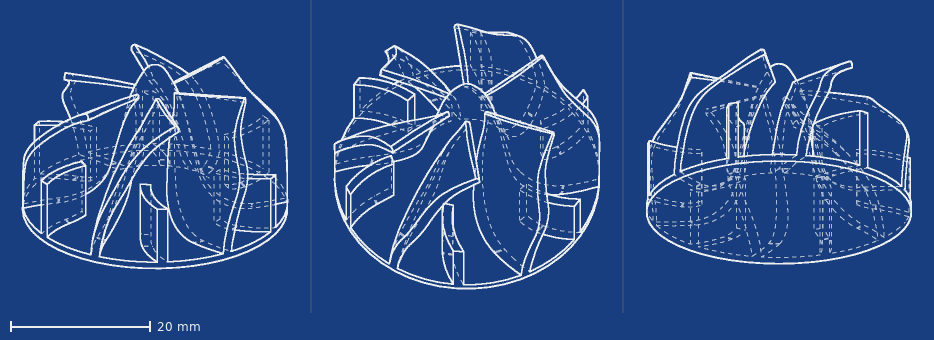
import cadquery as cq
import math

disc_radius = 19.0
disc_thickness = 1.03
total_height = 23.0
blade_count = 6
blade_pitch = 360.0 / blade_count

cap_radius = 1.45
cap_base_height = 22.25
nose_mid = (2.9, 19.7)
cone_top = (3.9, 16.87)
cone_bottom = (6.3, 7.15)
flare_radius = 14.0

rim_height = 9.1
slope_bottom = (17.18, 13.4)
slope_top = (14.97, 15.85)
inlet_tip = (13.45, 19.85)

root_radius = 3.05
blade_inner_radius = 2.65
blade_outer_radius = 19.75
blade_stations = 3
first_leading_edge = 90.0
blade_sections = [
    (0.0, 62.0, 41.4, 2.13, 1.5),
    (3.42, 61.0, 40.4, 1.75, 1.5),
    (6.85, 57.6, 37.5, 1.3, 1.5),
    (10.25, 53.8, 32.8, 0.9, 1.55),
    (13.68, 45.5, 25.0, 0.75, 1.75),
    (16.35, 31.5, 15.7, 0.7, 1.9),
    (18.92, 8.0, 3.0, 0.75, 2.77),
    (20.33, -10.0, -6.0, 0.75, 2.77),
]
edge_root_height = 19.25
edge_round = 0.45

vane_height = 9.5
vane_thickness = 1.5
vane_outer = (20.52, 81.9)
vane_mid = (15.05, 72.1)
vane_inner = (11.15, 68.4)


def polar(radius, angle):
    """Plan point at a radius and an angle in degrees."""
    return (radius * math.cos(math.radians(angle)), radius * math.sin(math.radians(angle)))


def make_disc_and_hub():
    """Disc and hub turned as one body."""
    profile = (
        cq.Workplane("XZ")
        .moveTo(0, 0)
        .lineTo(disc_radius, 0)
        .lineTo(disc_radius, disc_thickness)
        .lineTo(flare_radius, disc_thickness)
    )
    slope = math.atan2(cone_top[1] - cone_bottom[1], cone_bottom[0] - cone_top[0])
    flare_arc = (cone_bottom[1] - disc_thickness) / (1 - math.cos(slope))
    flare_mid = (
        flare_radius - flare_arc * math.sin(slope / 2),
        disc_thickness + flare_arc * (1 - math.cos(slope / 2)),
    )
    cap_rise = total_height - cap_base_height
    cap_sphere = (cap_radius**2 + cap_rise**2) / (2 * cap_rise)
    cap_mid_angle = math.asin(cap_radius / cap_sphere) / 2
    cap_mid = (
        cap_sphere * math.sin(cap_mid_angle),
        total_height - cap_sphere * (1 - math.cos(cap_mid_angle)),
    )
    return (
        profile.threePointArc(flare_mid, cone_bottom)
        .lineTo(*cone_top)
        .threePointArc(nose_mid, (cap_radius, cap_base_height))
        .threePointArc(cap_mid, (0, total_height))
        .close()
        .revolve(360, (0, 0, 0), (0, 1, 0))
    )


def make_envelope():
    """Turned body above the disc that trims the blades."""
    return (
        cq.Workplane("XZ")
        .moveTo(0, disc_thickness)
        .lineTo(disc_radius, disc_thickness)
        .lineTo(disc_radius, rim_height)
        .tangentArcPoint(slope_bottom, relative=False)
        .lineTo(*slope_top)
        .tangentArcPoint(inlet_tip, relative=False)
        .lineTo(0, inlet_tip[1])
        .close()
        .revolve(360, (0, 0, 0), (0, 1, 0))
    )


def blade_wire(section):
    """Closed outline of the blade at one height."""
    height, root_sweep, rim_sweep, root_thickness, rim_thickness = section
    station_step = (blade_outer_radius - blade_inner_radius) / (blade_stations - 1)
    faces = {1: [], -1: []}
    for i in range(blade_stations):
        radius = blade_inner_radius + i * station_step
        share = (radius - root_radius) / (disc_radius - root_radius)
        sweep = root_sweep + (rim_sweep - root_sweep) * share
        thickness = root_thickness + (rim_thickness - root_thickness) * share
        for side, points in faces.items():
            angle = first_leading_edge - sweep - side * math.degrees(thickness / 2 / radius)
            points.append(cq.Vector(*polar(radius, angle), height))
    lower = faces[-1]
    upper = faces[1]
    return cq.Wire.assembleEdges([
        cq.Edge.makeSpline(upper),
        cq.Edge.makeLine(upper[-1], lower[-1]),
        cq.Edge.makeSpline(lower[::-1]),
        cq.Edge.makeLine(lower[0], upper[0]),
    ])


def make_edge_limit():
    """Block behind the first leading edge and below its rising, rounded top."""
    rise = (inlet_tip[1] - edge_root_height) / (inlet_tip[0] - root_radius)
    axis_height = edge_root_height - rise * root_radius
    rim_top = axis_height + rise * disc_radius
    return (
        cq.Workplane("YZ")
        .polyline([(0, 0), (disc_radius, 0), (disc_radius, rim_top), (0, axis_height)])
        .close()
        .extrude(disc_radius)
        .faces("<X")
        .edges(">Z")
        .fillet(edge_round)
    )


def make_blade():
    """Twisted blade with its leading edge along +Y."""
    body = cq.Solid.makeLoft([blade_wire(section) for section in blade_sections])
    return cq.Workplane(body).intersect(make_envelope()).intersect(make_edge_limit())


def make_vane():
    """Curved upright plate reaching the disc edge."""
    def point(radius, angle, side):
        return polar(radius, angle + side * math.degrees(vane_thickness / 2 / radius))

    vane = (
        cq.Workplane("XY", origin=(0, 0, disc_thickness))
        .moveTo(*point(*vane_outer, 1))
        .threePointArc(point(*vane_mid, 1), point(*vane_inner, 1))
        .lineTo(*point(*vane_inner, -1))
        .threePointArc(point(*vane_mid, -1), point(*vane_outer, -1))
        .close()
        .extrude(vane_height - disc_thickness)
    )
    return vane.intersect(cq.Workplane("XY").circle(disc_radius).extrude(vane_height))


def repeat_around(shape, body):
    """Join evenly turned copies of a shape to the body."""
    for i in range(blade_count):
        body = body.union(shape.rotate((0, 0, 0), (0, 0, 1), i * blade_pitch), clean=False)
    return body


result = make_disc_and_hub()
result = repeat_around(make_blade(), result)
result = repeat_around(make_vane(), result)